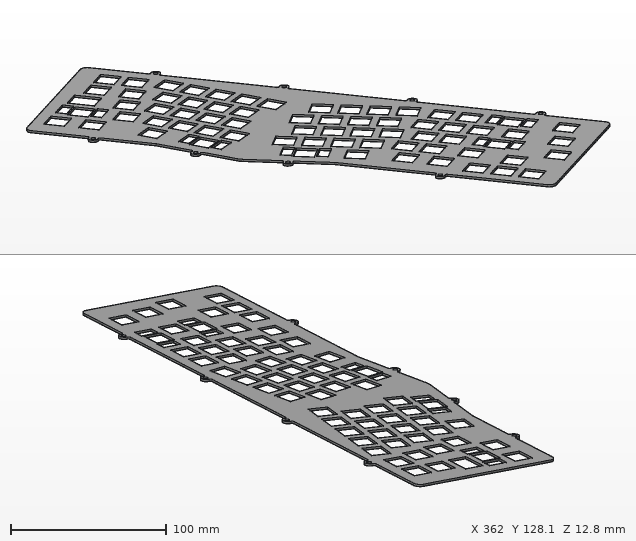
import math

import cadquery as cq

PLATE_WIDTH = 361.99
PLATE_DEPTH = 112.35
FLAT_LENGTH = 128.48
PLATE_THICKNESS = 1.6
CORNER_RADIUS = 4.5
TYPING_ANGLE = 5.0

TAB_RADIUS = 3.25
TAB_HOLE_DIAMETER = 3.1
TAB_OFFSET = 2.15
TAB_BLEND_RADIUS = 1.2
BACK_TAB_X = (43.8, 131.7)
FRONT_TAB_X = (-133.4, 104.0)
POINT_TAB_HALF_SPACING = 31.2

POINT_ANGLE = 10.1
POINT_X = -29.85
POINT_TIP_RADIUS = 12.0
POINT_JOIN_RADIUS = 5.0
POINT_SLOPE = math.tan(math.radians(POINT_ANGLE))
POINT_TAB_REACH = TAB_RADIUS + TAB_OFFSET * math.cos(math.radians(POINT_ANGLE))
BACK_TAB_REACH = TAB_RADIUS + TAB_OFFSET
POINT_TAB_EDGE_Y = -(FLAT_LENGTH - BACK_TAB_REACH - POINT_TAB_REACH)
POINT_DEPTH = -POINT_TAB_EDGE_Y - PLATE_DEPTH + POINT_TAB_HALF_SPACING * POINT_SLOPE
POINT_HALF_WIDTH = POINT_DEPTH / POINT_SLOPE

KEY_PITCH = 19.05
SWITCH_SIZE = 14.0
STEPPED_SHIFT = 4.5

STABILIZER_WIDTH = 7.6
STABILIZER_HEIGHT = 13.5
STABILIZER_SPACING = 24.0
STABILIZER_RISE = 1.25

FIRST_ROW_Y = -16.17
LEFT_BLOCK_X = -158.35
RIGHT_BLOCK_X = 70.25
LEFT_BLOCK_ROWS = ((0, 1), (0, 1.25), (1.4,), (0.125, 1.75), (-0.375, 0.875))
RIGHT_BLOCK_ROWS = (
    (0, 1, 2.5),
    (-0.25, 0.75, 1.75, 3),
    (0.11, 1.11, 2.735),
    (-0.25, 0.75, 2.125),
    (0.125, 1.375),
)
LEFT_BLOCK_WIDE = ((3, 0.125),)
RIGHT_BLOCK_WIDE = ((0, 2.5), (2, 2.735))
STEPPED_KEY_ROW = 2

HALF_ANGLE = 10.0
LEFT_HALF_ORIGIN = (-116.65, -15.1)
LEFT_HALF_ROWS = (
    (0, 1, 2, 3, 4),
    (0.5, 1.5, 2.5, 3.5),
    (0.75, 1.75, 2.75, 3.75),
    (1.25, 2.25, 3.25, 4.25),
    (1.625, 3.625),
)
LEFT_HALF_WIDE = ((4, 3.625),)
RIGHT_HALF_ORIGIN = (47.77, -16.75)
RIGHT_HALF_ROWS = (
    (0, -1, -2, -3),
    (-0.5, -1.5, -2.5, -3.5),
    (-0.25, -1.25, -2.25, -3.25),
    (-0.75, -1.75, -2.75, -3.75),
    (-1.125, -2.875),
)
RIGHT_HALF_WIDE = ((4, -2.875),)

NAVIGATION_KEYS = ((155.5, FIRST_ROW_Y), (160.4, -39.2), (165.9, -61.9))
ARROW_DOWN = (RIGHT_BLOCK_X + 3.75 * KEY_PITCH, FIRST_ROW_Y - 4.25 * KEY_PITCH)


def make_plate():
    """Plate with rounded corners and a softened shallow point at the front."""
    half_width = PLATE_WIDTH / 2
    front_y = -PLATE_DEPTH
    plate = (
        cq.Workplane("XY")
        .moveTo(-half_width, 0)
        .lineTo(-half_width, front_y)
        .lineTo(POINT_X - POINT_HALF_WIDTH, front_y)
        .lineTo(POINT_X, front_y - POINT_DEPTH)
        .lineTo(POINT_X + POINT_HALF_WIDTH, front_y)
        .lineTo(half_width, front_y)
        .lineTo(half_width, 0)
        .close()
        .extrude(PLATE_THICKNESS)
    )
    plate = plate.edges("|Z and (<X or >X)").fillet(CORNER_RADIUS)
    plate = plate.edges("|Z and <Y").fillet(POINT_TIP_RADIUS)
    margin = PLATE_THICKNESS / 2
    joins = cq.selectors.BoxSelector(
        (POINT_X - POINT_HALF_WIDTH - margin, front_y - margin, -margin),
        (POINT_X + POINT_HALF_WIDTH + margin, front_y + margin, PLATE_THICKNESS + margin),
    )
    return plate.edges("|Z").edges(joins).fillet(POINT_JOIN_RADIUS)


def tab_placements():
    """Edge point and outward turn (degrees from +Y) of every tab."""
    back = [(side * x, 0, 0) for x in BACK_TAB_X for side in (-1, 1)]
    front = [(x, -PLATE_DEPTH, 180) for x in FRONT_TAB_X]
    point = [
        (POINT_X + side * POINT_TAB_HALF_SPACING, POINT_TAB_EDGE_Y, 180 + side * POINT_ANGLE)
        for side in (-1, 1)
    ]
    return back + front + point


def make_tab(edge_x, edge_y, turn):
    """Ear with concave blends running into the plate edge at the given point."""
    blend_x = math.sqrt(
        (TAB_RADIUS + TAB_BLEND_RADIUS) ** 2 - (TAB_OFFSET - TAB_BLEND_RADIUS) ** 2
    )
    ratio = TAB_RADIUS / (TAB_RADIUS + TAB_BLEND_RADIUS)
    touch_x = blend_x * ratio
    touch_y = TAB_OFFSET + (TAB_BLEND_RADIUS - TAB_OFFSET) * ratio
    toward_ear = math.atan2(touch_y - TAB_BLEND_RADIUS, touch_x - blend_x) % (2 * math.pi)
    toward_edge = math.radians(270)
    middle_angle = (toward_ear + toward_edge) / 2
    middle_x = blend_x + TAB_BLEND_RADIUS * math.cos(middle_angle)
    middle_y = TAB_BLEND_RADIUS + TAB_BLEND_RADIUS * math.sin(middle_angle)
    root = -TAB_RADIUS
    return (
        cq.Workplane("XY")
        .moveTo(-blend_x, root)
        .lineTo(-blend_x, 0)
        .threePointArc((-middle_x, middle_y), (-touch_x, touch_y))
        .threePointArc((0, TAB_OFFSET + TAB_RADIUS), (touch_x, touch_y))
        .threePointArc((middle_x, middle_y), (blend_x, 0))
        .lineTo(blend_x, root)
        .close()
        .extrude(PLATE_THICKNESS)
        .rotate((0, 0, 0), (0, 0, 1), turn)
        .translate((edge_x, edge_y, 0))
    )


def make_tab_hole(edge_x, edge_y, turn):
    """Screw hole cutter of one tab."""
    return (
        cq.Workplane("XY")
        .center(0, TAB_OFFSET)
        .circle(TAB_HOLE_DIAMETER / 2)
        .extrude(PLATE_THICKNESS)
        .rotate((0, 0, 0), (0, 0, 1), turn)
        .translate((edge_x, edge_y, 0))
    )


def rectangle_cutters(centers, width, height):
    """Through cutters of one size at several places."""
    return cq.Workplane("XY").pushPoints(centers).rect(width, height).extrude(PLATE_THICKNESS)


def key_block_cutters(rows, wide_keys, origin, angle=0):
    """Switch and stabilizer cutters of one block of rows, turned about its first key."""
    switches = [
        (offset * KEY_PITCH, -row * KEY_PITCH)
        for row, offsets in enumerate(rows)
        for offset in offsets
    ]
    stabilizers = [
        (offset * KEY_PITCH + side * STABILIZER_SPACING / 2, -row * KEY_PITCH + STABILIZER_RISE)
        for row, offset in wide_keys
        for side in (-1, 1)
    ]
    cutters = [rectangle_cutters(switches, SWITCH_SIZE, SWITCH_SIZE)]
    if stabilizers:
        cutters.append(rectangle_cutters(stabilizers, STABILIZER_WIDTH, STABILIZER_HEIGHT))
    return [
        cutter.rotate((0, 0, 0), (0, 0, 1), angle).translate((origin[0], origin[1], 0))
        for cutter in cutters
    ]


def make_cutters():
    """All key cutters of the plate."""
    stepped_center = (LEFT_BLOCK_X - STEPPED_SHIFT / 2, FIRST_ROW_Y - STEPPED_KEY_ROW * KEY_PITCH)
    down_x, down_y = ARROW_DOWN
    arrows = [(down_x + step * KEY_PITCH, down_y) for step in (-1, 0, 1)]
    arrows.append((down_x, down_y + KEY_PITCH))
    return (
        key_block_cutters(LEFT_BLOCK_ROWS, LEFT_BLOCK_WIDE, (LEFT_BLOCK_X, FIRST_ROW_Y))
        + key_block_cutters(RIGHT_BLOCK_ROWS, RIGHT_BLOCK_WIDE, (RIGHT_BLOCK_X, FIRST_ROW_Y))
        + key_block_cutters(LEFT_HALF_ROWS, LEFT_HALF_WIDE, LEFT_HALF_ORIGIN, -HALF_ANGLE)
        + key_block_cutters(RIGHT_HALF_ROWS, RIGHT_HALF_WIDE, RIGHT_HALF_ORIGIN, HALF_ANGLE)
        + [
            rectangle_cutters([stepped_center], SWITCH_SIZE + STEPPED_SHIFT, SWITCH_SIZE),
            rectangle_cutters(list(NAVIGATION_KEYS) + arrows, SWITCH_SIZE, SWITCH_SIZE),
        ]
    )


plate = make_plate()
for placement in tab_placements():
    plate = plate.union(make_tab(*placement))
for placement in tab_placements():
    plate = plate.cut(make_tab_hole(*placement))
for cutter in make_cutters():
    plate = plate.cut(cutter)

result = plate.rotate((0, 0, 0), (1, 0, 0), TYPING_ANGLE)